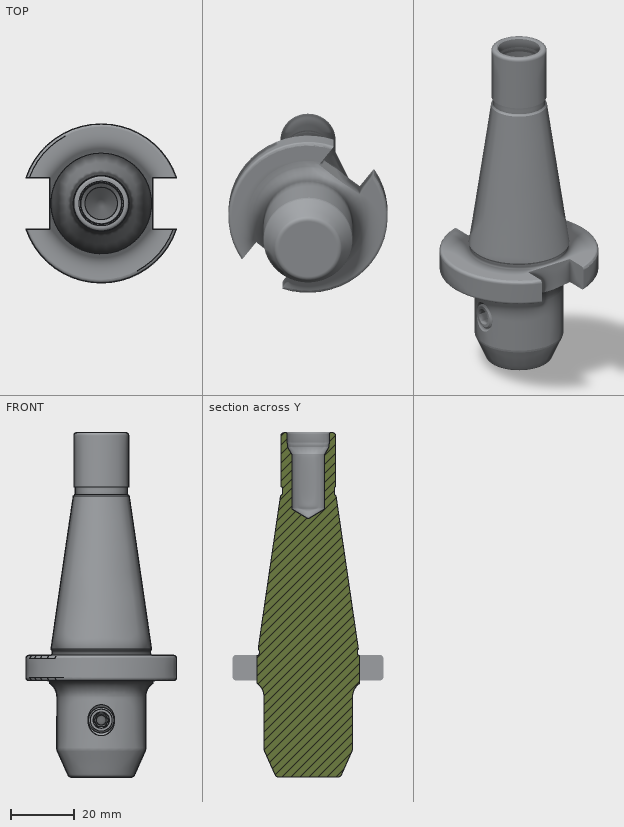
import cadquery as cq
import math


shank_length = 68.4
nose_projection = 40.0

gauge_radius = 31.75 / 2
taper_slope = 7 / 48
taper_top = 48.4
taper_bottom = 0.4

pilot_radius = 17.3 / 2
pilot_bottom = 51.2
neck_radius = 16.5 / 2
rim_rounding = 1.0

flange_radius = 25.0
flange_top = -1.6
flange_bottom = -9.6
undercut_radius = 15.5
undercut_chamfer_bottom = -0.2
undercut_fillet = 0.6
drive_slot_width = 16.1
drive_slot_floor = 16.2

body_radius = 14.0
body_fillet = 5.0
cone_top = -31.3
cone_half_angle = 24.0
cone_top_rounding = 1.8
nose_rounding = 1.5

counterbore_radius = 6.6
counterbore_chamfer = 0.4
counterbore_depth = 3.2
relief_radius = 6.4
relief_top_depth = 3.9
relief_bottom_depth = 4.65
tap_drill_radius = 10.2 / 2
tap_cone_half_angle = 30.0
tap_drill_depth = 24.0
drill_point_half_angle = 59.0

screw_height = -22.0
screw_radius = 4.0
screw_sink_radius = 4.87
screw_face_recess = 0.15
screw_chamfer = 0.55
screw_length = 8.0
socket_across_flats = 4.0
socket_mouth_radius = 2.55
socket_depth = 3.0
socket_floor_radius = 1.55


def tan_deg(angle):
    return math.tan(math.radians(angle))


def taper_radius(z):
    return gauge_radius - taper_slope * z


def revolve_about_axis(profile):
    return profile.close().revolve(360, (0, 0, 0), (0, 1, 0))


def round_edge_at(solid, radius, z, rounding):
    """Round the circular edge that has the given radius and height."""
    margin = 0.05
    box = cq.selectors.BoxSelector(
        (-radius - margin, -radius - margin, z - margin),
        (radius + margin, radius + margin, z + margin),
        boundingbox=True,
    )
    edges = solid.edges(box).filter(lambda edge: abs(edge.Center().z - z) < margin)
    largest = max(edges.vals(), key=lambda edge: edge.Length())
    return solid.newObject([largest]).fillet(rounding)


def make_turned_body():
    """Revolved outline of shank, flange and nose."""
    taper_top_radius = taper_radius(taper_top)
    neck_bottom = taper_top + taper_top_radius - neck_radius
    nose_bottom_radius = body_radius - (cone_top + nose_projection) * tan_deg(cone_half_angle)
    diagonal = math.sqrt(0.5)
    undercut_start = flange_top + undercut_fillet
    undercut_end_radius = undercut_radius + undercut_fillet
    undercut_mid = (
        undercut_end_radius - undercut_fillet * diagonal,
        undercut_start - undercut_fillet * diagonal,
    )
    body_fillet_end = flange_bottom - body_fillet
    body_fillet_start_radius = body_radius + body_fillet
    body_fillet_mid = (
        body_fillet_start_radius - body_fillet * diagonal,
        body_fillet_end + body_fillet * diagonal,
    )
    profile = (
        cq.Workplane("XZ")
        .moveTo(0, shank_length)
        .lineTo(pilot_radius, shank_length)
        .lineTo(pilot_radius, pilot_bottom)
        .lineTo(neck_radius, pilot_bottom)
        .lineTo(neck_radius, neck_bottom)
        .lineTo(taper_top_radius, taper_top)
        .lineTo(taper_radius(taper_bottom), taper_bottom)
        .lineTo(undercut_radius, undercut_chamfer_bottom)
        .lineTo(undercut_radius, undercut_start)
        .threePointArc(undercut_mid, (undercut_end_radius, flange_top))
        .lineTo(flange_radius, flange_top)
        .lineTo(flange_radius, flange_bottom)
        .lineTo(body_fillet_start_radius, flange_bottom)
        .threePointArc(body_fillet_mid, (body_radius, body_fillet_end))
        .lineTo(body_radius, cone_top)
        .lineTo(nose_bottom_radius, -nose_projection)
        .lineTo(0, -nose_projection)
    )
    body = revolve_about_axis(profile)
    body = round_edge_at(body, pilot_radius, shank_length, rim_rounding)
    body = round_edge_at(body, flange_radius, flange_top, rim_rounding)
    body = round_edge_at(body, flange_radius, flange_bottom, rim_rounding)
    body = round_edge_at(body, body_radius, cone_top, cone_top_rounding)
    return round_edge_at(body, nose_bottom_radius, -nose_projection, nose_rounding)


def make_drive_slot(side):
    """Cutter for the slot on the +X (side = 1) or -X (side = -1) edge of the flange."""
    slot_length = flange_radius - drive_slot_floor
    slot_bottom = flange_bottom - body_fillet
    return (
        cq.Workplane("XY", origin=(side * (drive_slot_floor + slot_length / 2), 0, slot_bottom))
        .rect(slot_length, drive_slot_width)
        .extrude(flange_top - slot_bottom)
    )


def make_centre_hole():
    """Cutter for the stepped threaded hole in the top end."""
    tap_cone_depth = (relief_radius - tap_drill_radius) / tan_deg(tap_cone_half_angle)
    tap_drill_top = shank_length - relief_bottom_depth - tap_cone_depth
    tap_drill_bottom = shank_length - tap_drill_depth
    drill_tip = tap_drill_bottom - tap_drill_radius / tan_deg(drill_point_half_angle)
    profile = (
        cq.Workplane("XZ")
        .moveTo(0, shank_length)
        .lineTo(counterbore_radius + counterbore_chamfer, shank_length)
        .lineTo(counterbore_radius, shank_length - counterbore_chamfer)
        .lineTo(counterbore_radius, shank_length - counterbore_depth)
        .lineTo(relief_radius, shank_length - relief_top_depth)
        .lineTo(relief_radius, shank_length - relief_bottom_depth)
        .lineTo(tap_drill_radius, tap_drill_top)
        .lineTo(tap_drill_radius, tap_drill_bottom)
        .lineTo(0, drill_tip)
    )
    return revolve_about_axis(profile)


def revolve_about_screw_axis(half_profile):
    """Revolve closed (Y, radius) points about the axis of the clamping screw."""
    profile = cq.Workplane("YZ", origin=(0, 0, screw_height)).polyline(half_profile).close()
    return profile.revolve(360, (0, 0, 0), (1, 0, 0))


def make_screw_countersink():
    """Cutter for the 90 degree countersink around the clamping screw."""
    surface = -body_radius
    sink_bottom = surface + screw_sink_radius - screw_radius
    return revolve_about_screw_axis(
        [(surface, 0), (surface, screw_sink_radius), (sink_bottom, screw_radius), (sink_bottom, 0)]
    )


def make_screw():
    """Chamfered end of the clamping screw, filling its hole and joined to the nose."""
    face = -body_radius + screw_face_recess
    return revolve_about_screw_axis(
        [
            (face, 0),
            (face, screw_radius - screw_chamfer),
            (face + screw_chamfer, screw_radius),
            (face + screw_length, screw_radius),
            (face + screw_length, 0),
        ]
    )


def make_screw_socket():
    """Cutter for the hexagon socket with its conical mouth and bottom."""
    face = -body_radius + screw_face_recess
    corner_radius = socket_across_flats / 2 / math.cos(math.radians(30))
    inward = cq.Vector(0, 1, 0)
    mouth_centre = cq.Vector(0, face, screw_height)
    hexagon_end = mouth_centre + inward * socket_depth
    hexagon = (
        cq.Workplane("XZ", origin=mouth_centre.toTuple())
        .polygon(6, 2 * corner_radius)
        .extrude(-socket_depth)
    )
    mouth = cq.Solid.makeCone(socket_mouth_radius, 0, socket_mouth_radius, mouth_centre, inward)
    bottom = cq.Solid.makeCone(
        corner_radius, socket_floor_radius, corner_radius - socket_floor_radius, hexagon_end, inward
    )
    return hexagon.union(cq.Workplane(mouth)).union(cq.Workplane(bottom))


result = make_turned_body()
for slot_side in (1, -1):
    result = result.cut(make_drive_slot(slot_side))
result = result.cut(make_centre_hole())
result = result.cut(make_screw_countersink())
result = result.union(make_screw())
result = result.cut(make_screw_socket())